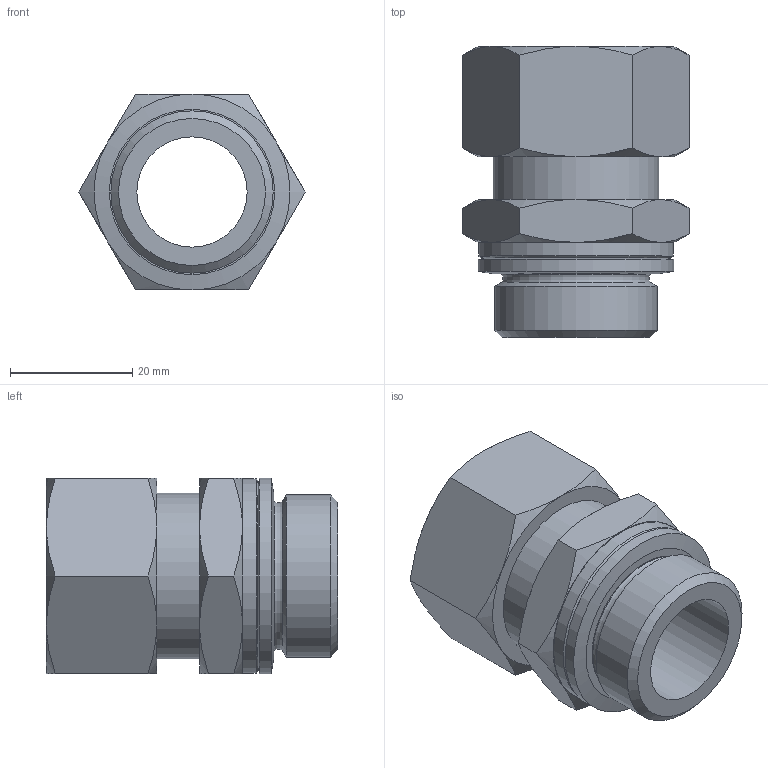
import cadquery as cq
import math

overall_length = 47.52
nut_length = 18.0
collar_length = 7.0
body_hex_length = 7.0
nut_start = overall_length - nut_length
collar_start = nut_start - collar_length
body_hex_start = collar_start - body_hex_length

hex_sides = 6
across_flats = 32.0
hex_chamfer_angle = 30.0

bore_diameter = 18.0
collar_diameter = 27.0
thread_diameter = 26.5
thread_tip_diameter = 24.0
flange_diameter = 31.8

tip_chamfer_length = 1.15
thread_end = 8.35
relief_taper_length = 0.65
relief_lip_length = 0.14
relief_edge_diameter = 24.2
relief_floor_diameter = 23.9

seal_ring_diameter = across_flats
seal_face_diameter = 27.0
seal_face = 10.42
ring_front = 10.8
ring_back = 12.75

flange_face = 13.0
flange_chamfer = 0.3


def chamfered_hex(start, length):
    """Hexagon along Y, with two corners on the X axis and both ends turned to a cone."""
    across_corners = across_flats / math.cos(math.pi / hex_sides)
    flat_radius = across_flats / 2
    corner_radius = across_corners / 2
    chamfer_length = (corner_radius - flat_radius) * math.tan(math.radians(hex_chamfer_angle))
    end = start + length
    prism = (
        cq.Workplane("XZ", origin=(0, start, 0))
        .polygon(hex_sides, across_corners)
        .extrude(-length)
    )
    turned_envelope = (
        cq.Workplane("XY")
        .moveTo(0, start)
        .lineTo(flat_radius, start)
        .lineTo(corner_radius, start + chamfer_length)
        .lineTo(corner_radius, end - chamfer_length)
        .lineTo(flat_radius, end)
        .lineTo(0, end)
        .close()
        .revolve(360, (0, 0, 0), (0, 1, 0))
    )
    return prism.intersect(turned_envelope)


def turned_body():
    """Threaded end, relief groove, sealing ring, flange and collar in one revolve."""
    tip_radius = thread_tip_diameter / 2
    thread_radius = thread_diameter / 2
    relief_edge_radius = relief_edge_diameter / 2
    relief_floor_radius = relief_floor_diameter / 2
    relief_start = thread_end + relief_taper_length
    relief_end = seal_face - relief_lip_length
    relief_middle = (relief_start + relief_end) / 2
    seal_face_radius = seal_face_diameter / 2
    ring_radius = seal_ring_diameter / 2
    ring_cone_run_per_rise = (ring_radius - seal_face_radius) / (ring_front - seal_face)
    ring_contact_radius = ring_radius - (flange_face - ring_back) * ring_cone_run_per_rise
    flange_radius = flange_diameter / 2
    collar_radius = collar_diameter / 2
    return (
        cq.Workplane("XY")
        .moveTo(0, 0)
        .lineTo(tip_radius, 0)
        .lineTo(thread_radius, tip_chamfer_length)
        .lineTo(thread_radius, thread_end)
        .lineTo(relief_edge_radius, relief_start)
        .threePointArc((relief_floor_radius, relief_middle), (relief_edge_radius, relief_end))
        .lineTo(relief_edge_radius, seal_face)
        .lineTo(seal_face_radius, seal_face)
        .lineTo(ring_radius, ring_front)
        .lineTo(ring_radius, ring_back)
        .lineTo(ring_contact_radius, flange_face)
        .lineTo(flange_radius - flange_chamfer, flange_face)
        .lineTo(flange_radius, flange_face + flange_chamfer)
        .lineTo(flange_radius, body_hex_start)
        .lineTo(collar_radius, body_hex_start)
        .lineTo(collar_radius, nut_start)
        .lineTo(0, nut_start)
        .close()
        .revolve(360, (0, 0, 0), (0, 1, 0))
    )


def bore():
    """Straight bore through the full length."""
    return cq.Workplane("XZ").circle(bore_diameter / 2).extrude(-overall_length)


body_hex = chamfered_hex(body_hex_start, body_hex_length)
nut = chamfered_hex(nut_start, nut_length)
result = turned_body().union(body_hex).union(nut).cut(bore())